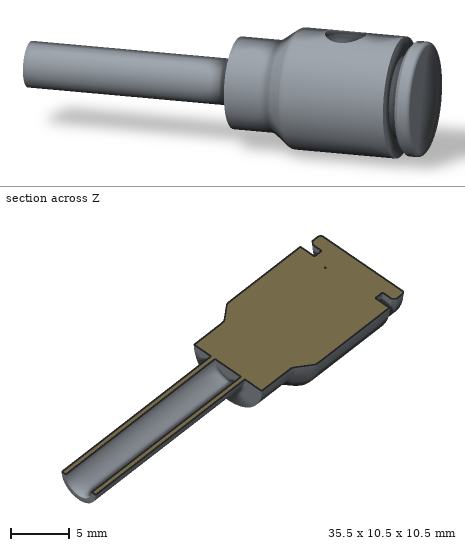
import cadquery as cq

total_length = 35.5
tube_length = 18.65
hub_length = 3.75
cone_length = 1.7
collar_length = 1.35
neck_length = 0.85

tube_diameter = 4.0
bore_diameter = 3.0
hub_diameter = 8.0
body_diameter = 10.5
neck_diameter = 7.2
collar_diameter = 9.95

cone_blend_radius = 0.7
collar_chamfer = 0.32
collar_rim_radius = 0.32

recess_diameter = 3.55
recess_depth = 0.5
recess_x = 28.33

cone_start_x = tube_length + hub_length
cone_end_x = cone_start_x + cone_length
collar_x = total_length - collar_length
body_end_x = collar_x - neck_length


def rod(start_x, end_x, diameter):
    """Solid cylinder on the X axis between two stations."""
    return cq.Workplane("YZ", origin=(start_x, 0, 0)).circle(diameter / 2).extrude(end_x - start_x)


def make_body():
    """Hub widening through a cone into the main body, with both cone edges blended."""
    hub_radius = hub_diameter / 2
    body_radius = body_diameter / 2
    profile = [
        (tube_length, 0),
        (tube_length, hub_radius),
        (cone_start_x, hub_radius),
        (cone_end_x, body_radius),
        (body_end_x, body_radius),
        (body_end_x, 0),
    ]
    body = cq.Workplane("XY").polyline(profile).close().revolve(360, (0, 0, 0), (1, 0, 0))
    cone_edges = cq.selectors.BoxSelector(
        (cone_start_x - cone_length / 2, -body_diameter, -body_diameter),
        (cone_end_x + cone_length / 2, body_diameter, body_diameter),
    )
    return body.edges("%CIRCLE").edges(cone_edges).fillet(cone_blend_radius)


def make_collar():
    """Release collar, chamfered towards the body and rounded at its outer rim."""
    collar = rod(collar_x, total_length, collar_diameter)
    return collar.faces("<X").chamfer(collar_chamfer).faces(">X").edges().fillet(collar_rim_radius)


def make_recess():
    """Vertical cutter from the recess floor to well clear of the body."""
    floor_z = body_diameter / 2 - recess_depth
    floor = cq.Workplane("XY", origin=(recess_x, 0, floor_z))
    return floor.circle(recess_diameter / 2).extrude(2 * recess_depth)


tube = rod(0, tube_length, tube_diameter)
bore = rod(0, tube_length, bore_diameter)
neck = rod(body_end_x, collar_x, neck_diameter)

result = tube.union(make_body()).union(neck).union(make_collar()).cut(bore).cut(make_recess())